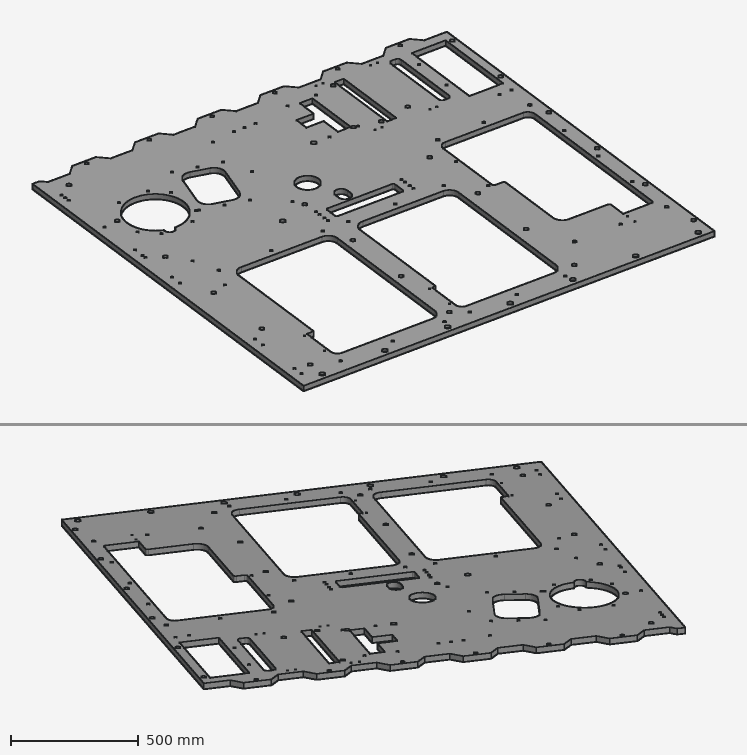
import cadquery as cq
import math

width = 1849.0
height = 1973.0
thickness = 25.0

tab_depth = 41.0
tab_tip_half = 57.0
tab_count = 6
first_tab_y = 260.0
last_tab_y = 1765.0
tab_pitch = (last_tab_y - first_tab_y) / (tab_count - 1)
tab_base_half = tab_tip_half + tab_depth
corner_tab_x = 18.0

tiny = 5.0
small = 10.0
medium = 15.0
cable_hole = 20.0
frame_hole = 12.0
large = 24.0
screw = 10.0
screw_head = 20.0
edge_screw = 12.0
edge_screw_head = 24.0
head_depth = 12.0


def sheet():
    """Flat sheet with tabs on its left edge and a cut-back tab at the lower corner."""
    corner_top = first_tab_y - tab_pitch + tab_base_half
    corner_step = tab_depth - corner_tab_x
    outline = [
        (width, 0),
        (width, height),
        (tab_depth, height),
    ]
    for i in reversed(range(tab_count)):
        y = first_tab_y + i * tab_pitch
        outline += [
            (tab_depth, y + tab_base_half),
            (0, y + tab_tip_half),
            (0, y - tab_tip_half),
            (tab_depth, y - tab_base_half),
        ]
    outline += [
        (tab_depth, corner_top),
        (corner_tab_x, corner_top - corner_step),
        (corner_tab_x, 0),
    ]
    return cq.Workplane("XY").polyline(outline).close().extrude(thickness)


def grid(xs, ys):
    """All points of a rectangular grid."""
    return [(x, y) for x in xs for y in ys]


def holes(points, diameter):
    """Through holes of one diameter."""
    return cq.Workplane("XY").pushPoints(points).circle(diameter / 2).extrude(thickness)


def sunk_holes(points, diameter, head_diameter, head_depth):
    """Through holes with a wider flat-bottomed recess in the top face."""
    heads = holes(points, head_diameter).translate((0, 0, thickness - head_depth))
    return holes(points, diameter).union(heads)


def window(left, right, bottom, top, radius=0.0):
    """Rectangular opening with equally rounded corners."""
    opening = (
        cq.Workplane("XY")
        .center((left + right) / 2, (bottom + top) / 2)
        .rect(right - left, top - bottom)
        .extrude(thickness)
    )
    if radius > 0:
        opening = opening.edges("|Z").fillet(radius)
    return opening


def profile(points):
    """Opening with a straight-sided outline."""
    return cq.Workplane("XY").polyline(points).close().extrude(thickness)


def round_corner(opening, x, y, radius):
    """Round the upright edge of an opening nearest to a corner point."""
    return opening.edges(cq.selectors.NearestToPointSelector((x, y, thickness / 2))).fillet(radius)


upper_left, upper_right = 702.0, 1537.0
upper_bottom, upper_top = 1462.0, 1902.0
shoulder_x, shoulder_y = 1446.0, 1755.0
ledge_x, ledge_y = 1073.0, 1515.0
upper_radius = 34.0
shoulder_radius = 45.0
small_radius = 10.0


def upper_window():
    opening = profile([
        (upper_left, upper_bottom),
        (ledge_x, upper_bottom),
        (ledge_x, ledge_y),
        (shoulder_x, ledge_y),
        (shoulder_x, shoulder_y),
        (upper_right, shoulder_y),
        (upper_right, upper_top),
        (upper_left, upper_top),
    ])
    opening = round_corner(opening, upper_left, upper_bottom, upper_radius)
    opening = round_corner(opening, upper_left, upper_top, upper_radius)
    opening = round_corner(opening, shoulder_x, ledge_y, shoulder_radius)
    for x, y in [
        (ledge_x, upper_bottom),
        (ledge_x, ledge_y),
        (shoulder_x, shoulder_y),
        (upper_right, upper_top),
    ]:
        opening = round_corner(opening, x, y, small_radius)
    return opening


side_left, side_right = 992.0, 1736.0
side_height = 474.0
side_radius = 43.0
lip_radius = 32.0


def side_window(top, lip_x, lip_depth):
    bottom = top - side_height
    opening = window(side_left, side_right, bottom, top, side_radius)
    lip = window(lip_x, side_right, bottom - lip_depth, top - side_height / 2)
    lip = round_corner(lip, side_right, bottom - lip_depth, lip_radius)
    return opening.union(lip)


tee_left, tee_right = 138.0, 397.0
stem_left, stem_right = 233.0, 300.0
tee_bottom, tee_shoulder, tee_top = 1115.0, 1198.0, 1259.0

tilt = -15
tilt_x, tilt_y = 436.0, 560.0
tilt_width, tilt_height, tilt_radius = 250.0, 178.0, 47.0
tilt_hole_width, tilt_hole_pitch = 300.0, 107.0


def tilted_opening():
    opening = cq.Workplane("XY").rect(tilt_width, tilt_height).extrude(thickness)
    opening = opening.edges("|Z").fillet(tilt_radius)
    frame = grid(
        [-tilt_hole_width / 2, tilt_hole_width / 2],
        [-tilt_hole_pitch, 0, tilt_hole_pitch],
    )
    opening = opening.union(holes(frame, small))
    return opening.rotate((0, 0, 0), (0, 0, 1), tilt).translate((tilt_x, tilt_y, 0))


dial_x, dial_y = 468.0, 270.0
dial_diameter = 270.0
notch_angle = -11
notch_diameter = 47.0
dial_hole_circle = 320.0
dial_hole_angles = [30, 59, 122, 155, 208, 299, 333]


def polar(radius, angle):
    """Point at a radius and angle about the centre of the big round opening."""
    turn = math.radians(angle)
    return dial_x + radius * math.cos(turn), dial_y + radius * math.sin(turn)


def dial_opening():
    opening = holes([(dial_x, dial_y)], dial_diameter)
    opening = opening.union(holes([polar(dial_diameter / 2, notch_angle)], notch_diameter))
    frame = [polar(dial_hole_circle / 2, angle) for angle in dial_hole_angles]
    return opening.union(holes(frame, small))


obround_x, obround_y = 783.0, 947.0
obround_length, obround_width = 80.0, 57.0


def obround():
    return (
        cq.Workplane("XY")
        .center(obround_x, obround_y)
        .slot2D(obround_length, obround_width)
        .extrude(thickness)
    )


def tee_opening():
    return profile([
        (tee_left, tee_top),
        (tee_left, tee_shoulder),
        (stem_left, tee_shoulder),
        (stem_left, tee_bottom),
        (stem_right, tee_bottom),
        (stem_right, tee_shoulder),
        (tee_right, tee_shoulder),
        (tee_right, tee_top),
    ])


port_x, port_y = 635.0, 882.0
port_diameter = 105.0

stack_left = 90.0
stack_right = 445.0
hatch_right, hatch_bottom, hatch_top = 480.0, 1770.0, 1932.0
rounded_slot_bottom, rounded_slot_top, rounded_slot_radius = 1657.0, 1707.0, 15.0
square_slot_bottom, square_slot_top = 1399.0, 1442.0

upright_left, upright_right = 835.0, 904.0
upright_bottom, upright_top = 829.0, 1155.0
upright_radius = 8.0

high_window_top, high_lip_x, high_lip_depth = 1322.0, 1549.0, 18.0
low_window_top, low_lip_x, low_lip_depth = 740.0, 1543.0, 34.0

first_screw_x = 107.0
screw_pitch = 325.0
screw_columns = 6
screw_ys = [112.0, 1381.0, 1953.0]
short_row_y = 781.0
screw_xs = [first_screw_x + i * screw_pitch for i in range(screw_columns)]
screws = grid(screw_xs, screw_ys) + grid(screw_xs[2:], [short_row_y])

edge_screw_x = 1820.0
edge_screw_count = 7
first_edge_screw_y, last_edge_screw_y = 110.0, 1915.0
edge_screw_pitch = (last_edge_screw_y - first_edge_screw_y) / (edge_screw_count - 1)
edge_screw_ys = [first_edge_screw_y + i * edge_screw_pitch for i in range(edge_screw_count)]
edge_screws = grid([edge_screw_x], edge_screw_ys)

tab_hole_x = 18.0
tab_holes = grid([tab_hole_x], [first_tab_y + i * tab_pitch for i in range(tab_count)])

frame_left, frame_right = 670.0, 1595.0
frame_bottom, frame_middle, frame_top = 1482.0, 1703.0, 1924.0
frame_pitch = (frame_right - frame_left) / 4
frame_corners = grid([frame_left, frame_right], [frame_bottom, frame_top])
frame_between = grid([frame_left + i * frame_pitch for i in range(1, 4)], [frame_top])
frame_between += grid([frame_left, frame_right], [frame_middle])
shoulder_pins = grid([1560.0, 1610.0], [1760.0])

side_frame = grid([960.0, 1782.0], [225.0, 475.0, 725.0, 846.0, 1071.0, 1305.0])
lip_pins = grid([1549.0, 1685.0], [217.0, 817.0])
window_fixings = grid([845.0, 1061.0], [182.0, 1446.0])

upright_fixings = grid([829.0, 852.0, 884.0, 908.0], [785.0, 1195.0])

hatch_fixings = grid([539.0], [1872.0, 1930.0]) + grid([175.0, 361.0], [1745.0])
slot_pins = grid([71.0, 470.0], [1324.0, 1357.0, 1586.0, 1620.0])
tee_fixings = grid([126.0, 408.0], [1148.0, 1285.0])
left_column = grid([160.0], [866.0, 917.0, 970.0])
middle_row = grid([175.0, 442.0, 715.0], [754.0])
cable_holes = [(405.0, 1527.0), (405.0, 1267.0)]
large_holes = [(408.0, 1073.0), (809.0, 640.0)]

bottom_row_y = 45.0
bottom_row_xs = [152.0, 175.0, 200.0, 442.0, 647.0, 698.0, 716.0]
bottom_row_xs += [895.0, 949.0, 1456.0, 1510.0, 1722.0, 1770.0]
bottom_row = grid(bottom_row_xs, [bottom_row_y])

openings = [
    upper_window(),
    side_window(high_window_top, high_lip_x, high_lip_depth),
    side_window(low_window_top, low_lip_x, low_lip_depth),
    tilted_opening(),
    dial_opening(),
    obround(),
    tee_opening(),
    holes([(port_x, port_y)], port_diameter),
    window(stack_left, hatch_right, hatch_bottom, hatch_top),
    window(stack_left, stack_right, rounded_slot_bottom, rounded_slot_top, rounded_slot_radius),
    window(stack_left, stack_right, square_slot_bottom, square_slot_top),
    window(upright_left, upright_right, upright_bottom, upright_top, upright_radius),
    sunk_holes(screws, screw, screw_head, head_depth),
    sunk_holes(edge_screws, edge_screw, edge_screw_head, head_depth),
    holes(tab_holes + frame_corners, medium),
    holes(frame_between + side_frame, frame_hole),
    holes(cable_holes, cable_hole),
    holes(large_holes, large),
    holes(shoulder_pins + lip_pins + slot_pins, tiny),
    holes(window_fixings + upright_fixings + hatch_fixings + tee_fixings, small),
    holes(left_column + middle_row + bottom_row, small),
]

result = sheet()
for opening in openings:
    result = result.cut(opening)